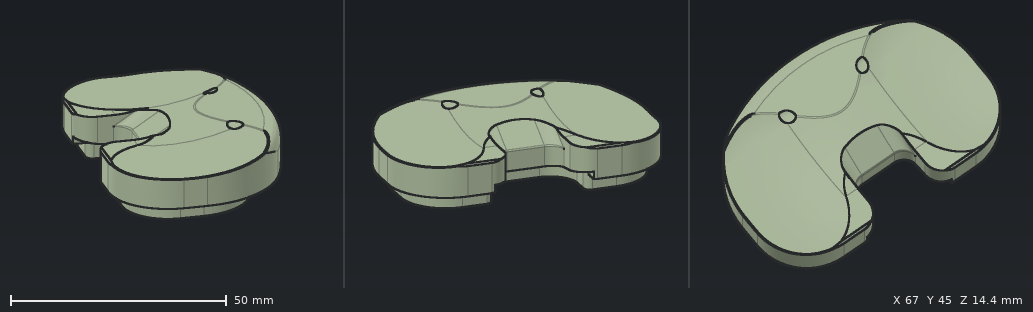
import cadquery as cq
import math

WIDTH = 66.95
DEPTH = 45.0
HEIGHT = 14.4
HALF_WIDTH = WIDTH / 2

SIDE_END_Y = 19.95
FRONT_CORNER_RADIUS = 14.3
REAR_RADIUS = 48.2
SLOT_HALF_WIDTH = 8.2
SLOT_DEPTH = 12.2
SLOT_ENTRY_RADIUS = 4.95
SLOT_END_RADIUS = 3.5

PLINTH_HEIGHT = 3.8
PLINTH_INSET = 3.3
PLINTH_DEPTH = 36.6
PLINTH_REAR_RADIUS = 73.65

FRONT_LEVEL = 11.7
FRONT_LEVEL_END_Y = 9.2
FRONT_RISE_RADIUS = 18.75
FRONT_BEVEL_DEPTH = 0.7
FRONT_BEVEL_HEIGHT = 0.4

REAR_ROUNDING = 3.9

DISH_X = 22.6
DISH_Y = 16.4
DISH_FLOOR = 9.05
DISH_CROSS_RADIUS = 29.45
DISH_SWEEP_RADIUS = 50.9
SADDLE_HALF_WIDTH = 11.8

RAMP_BASE = 8.9
RAMP_RUN = 7.15
RAMP_RISE = 4.5
RAMP_REACH = 2

DIMPLE_X = 11.6
DIMPLE_Y = 32.1
DIMPLE_Z = 17.2
DIMPLE_RADIUS = 3.7

LEG_NOTCH_HALF_WIDTH = 12.25
LEG_NOTCH_HEIGHT = 1.9
REAR_NOTCH_TOP_HALF_WIDTH = 12.05
REAR_NOTCH_BOTTOM_HALF_WIDTH = 15.8
REAR_NOTCH_HEIGHT = 2.0

RIM_CHAMFER = 0.2
SADDLE_CHAMFER = 0.2
RAMP_FOOT_RADIUS = 0.5

CLEARANCE = 3.35
RIM_BAND = 4.0
SELECT_MARGIN = 0.1


def slotted_outline(inset, rear_y, rear_radius, z):
    """Plan outline at height z, the body outline moved in by inset and ending at rear_y."""
    half_width = HALF_WIDTH - inset
    front_y = inset
    corner_radius = FRONT_CORNER_RADIUS - inset
    slot_x = SLOT_HALF_WIDTH + inset
    slot_y = SLOT_DEPTH + inset
    entry_radius = SLOT_ENTRY_RADIUS - inset
    end_radius = SLOT_END_RADIUS + inset

    rise = rear_y - SIDE_END_Y
    side_radius = (2 * rear_radius * rise - half_width**2 - rise**2) / (2 * (rear_radius - half_width))
    side_x = half_width - side_radius
    rear_centre_y = rear_y - rear_radius
    lean = math.atan2(side_x, SIDE_END_Y - rear_centre_y)
    joint_x = rear_radius * math.sin(lean)
    joint_y = rear_centre_y + rear_radius * math.cos(lean)

    return (
        cq.Workplane("XY", origin=(0, 0, z))
        .moveTo(slot_x + entry_radius, front_y)
        .lineTo(half_width - corner_radius, front_y)
        .tangentArcPoint((half_width, front_y + corner_radius), relative=False)
        .lineTo(half_width, SIDE_END_Y)
        .tangentArcPoint((joint_x, joint_y), relative=False)
        .threePointArc((0, rear_y), (-joint_x, joint_y))
        .tangentArcPoint((-half_width, SIDE_END_Y), relative=False)
        .lineTo(-half_width, front_y + corner_radius)
        .tangentArcPoint((corner_radius - half_width, front_y), relative=False)
        .lineTo(-slot_x - entry_radius, front_y)
        .tangentArcPoint((-slot_x, front_y + entry_radius), relative=False)
        .lineTo(-slot_x, slot_y - end_radius)
        .tangentArcPoint((end_radius - slot_x, slot_y), relative=False)
        .lineTo(slot_x - end_radius, slot_y)
        .tangentArcPoint((slot_x, slot_y - end_radius), relative=False)
        .lineTo(slot_x, front_y + entry_radius)
        .tangentArcPoint((slot_x + entry_radius, front_y), relative=False)
        .close()
    )


def front_level_cutter():
    """Space above the front bevel, the low front level and the curve that leads up from it."""
    above = HEIGHT + CLEARANCE
    rise_angle = math.acos(1 - (above - FRONT_LEVEL) / FRONT_RISE_RADIUS)
    half_angle = rise_angle / 2
    return (
        cq.Workplane("YZ", origin=(-WIDTH, 0, 0))
        .moveTo(0, FRONT_LEVEL - FRONT_BEVEL_HEIGHT)
        .lineTo(FRONT_BEVEL_DEPTH, FRONT_LEVEL)
        .lineTo(FRONT_LEVEL_END_Y, FRONT_LEVEL)
        .threePointArc(
            (
                FRONT_LEVEL_END_Y + FRONT_RISE_RADIUS * math.sin(half_angle),
                FRONT_LEVEL + FRONT_RISE_RADIUS * (1 - math.cos(half_angle)),
            ),
            (FRONT_LEVEL_END_Y + FRONT_RISE_RADIUS * math.sin(rise_angle), above),
        )
        .lineTo(0, above)
        .close()
        .extrude(2 * WIDTH)
    )


def rear_rounding_cutter():
    """Ring around the rear arc; it fades out where the side arcs turn in from that arc."""
    inner = REAR_RADIUS - REAR_ROUNDING
    lower = HEIGHT - REAR_ROUNDING
    diagonal = REAR_ROUNDING * math.sqrt(0.5)
    outer = REAR_RADIUS + CLEARANCE
    above = HEIGHT + CLEARANCE
    ring = (
        cq.Workplane("XZ", origin=(0, DEPTH - REAR_RADIUS, 0))
        .moveTo(inner, HEIGHT)
        .threePointArc((inner + diagonal, lower + diagonal), (REAR_RADIUS, lower))
        .lineTo(outer, lower)
        .lineTo(outer, above)
        .lineTo(inner, above)
        .close()
        .revolve(360, (0, 0, 0), (0, 1, 0))
    )
    rear_half = cq.Workplane("XY").box(2 * WIDTH, WIDTH, WIDTH, centered=(True, False, True))
    return ring.intersect(rear_half.translate((0, SIDE_END_Y, 0)))


def bearing_cutter():
    """Both dishes and the saddle, as one cross profile turned about an axis along X."""
    slope = math.asin((DISH_X - SADDLE_HALF_WIDTH) / DISH_CROSS_RADIUS)
    joint_z = DISH_FLOOR + DISH_CROSS_RADIUS * (1 - math.cos(slope))
    saddle_radius = SADDLE_HALF_WIDTH / math.sin(slope)
    saddle_top = joint_z + saddle_radius * (1 - math.cos(slope))
    outer_x = HALF_WIDTH + CLEARANCE
    outer_slope = math.asin((outer_x - DISH_X) / DISH_CROSS_RADIUS)
    outer_z = DISH_FLOOR + DISH_CROSS_RADIUS * (1 - math.cos(outer_slope))
    above = HEIGHT + 2 * CLEARANCE
    axis_height = DISH_FLOOR + DISH_SWEEP_RADIUS
    return (
        cq.Workplane("XZ", origin=(0, DISH_Y, 0))
        .moveTo(-outer_x, outer_z)
        .threePointArc((-DISH_X, DISH_FLOOR), (-SADDLE_HALF_WIDTH, joint_z))
        .threePointArc((0, saddle_top), (SADDLE_HALF_WIDTH, joint_z))
        .threePointArc((DISH_X, DISH_FLOOR), (outer_x, outer_z))
        .lineTo(outer_x, above)
        .lineTo(-outer_x, above)
        .close()
        .revolve(360, (0, axis_height, 0), (1, axis_height, 0))
    )


def ramp_cutter():
    """The end of the slot, carried up and back along the ramp."""
    outline = (
        cq.Workplane("XY", origin=(0, 0, RAMP_BASE))
        .moveTo(-SLOT_HALF_WIDTH, 0)
        .lineTo(-SLOT_HALF_WIDTH, SLOT_DEPTH - SLOT_END_RADIUS)
        .tangentArcPoint((SLOT_END_RADIUS - SLOT_HALF_WIDTH, SLOT_DEPTH), relative=False)
        .lineTo(SLOT_HALF_WIDTH - SLOT_END_RADIUS, SLOT_DEPTH)
        .tangentArcPoint((SLOT_HALF_WIDTH, SLOT_DEPTH - SLOT_END_RADIUS), relative=False)
        .lineTo(SLOT_HALF_WIDTH, 0)
        .close()
    )
    direction = cq.Vector(0, RAMP_REACH * RAMP_RUN, RAMP_REACH * RAMP_RISE)
    return cq.Workplane(cq.Solid.extrudeLinear(outline.val(), [], direction))


def leg_notch_cutter():
    """Wedge under the inner corners of the legs, running out at the end of the slot."""
    return (
        cq.Workplane("YZ", origin=(-LEG_NOTCH_HALF_WIDTH, 0, 0))
        .moveTo(0, PLINTH_HEIGHT)
        .lineTo(SLOT_DEPTH, PLINTH_HEIGHT)
        .lineTo(0, PLINTH_HEIGHT + LEG_NOTCH_HEIGHT)
        .close()
        .extrude(2 * LEG_NOTCH_HALF_WIDTH)
    )


def rear_notch_cutter():
    """Flared undercut below the rear edge."""
    top = PLINTH_HEIGHT + REAR_NOTCH_HEIGHT
    return (
        cq.Workplane("XZ", origin=(0, DEPTH, 0))
        .moveTo(-REAR_NOTCH_BOTTOM_HALF_WIDTH, PLINTH_HEIGHT)
        .lineTo(-REAR_NOTCH_TOP_HALF_WIDTH, top)
        .lineTo(REAR_NOTCH_TOP_HALF_WIDTH, top)
        .lineTo(REAR_NOTCH_BOTTOM_HALF_WIDTH, PLINTH_HEIGHT)
        .close()
        .extrude(PLINTH_INSET)
    )


def edges_in(shape, low, high):
    """Edges of shape whose centres lie in the box between the corners low and high."""
    return shape.edges(cq.selectors.BoxSelector(low, high))


def break_edges(shape):
    """Chamfer the dish rims and the saddle edge, and round the foot of the ramp."""
    for side in (-1, 1):
        inner_corner = (side * (HALF_WIDTH - RIM_BAND), 0, RAMP_BASE)
        outer_corner = (side * (HALF_WIDTH + CLEARANCE), DEPTH, HEIGHT)
        shape = edges_in(shape, inner_corner, outer_corner).chamfer(RIM_CHAMFER)
    saddle_low = (-SADDLE_HALF_WIDTH, SIDE_END_Y, HEIGHT - SELECT_MARGIN)
    saddle_high = (SADDLE_HALF_WIDTH, DEPTH - 2 * REAR_ROUNDING, HEIGHT + SELECT_MARGIN)
    shape = edges_in(shape, saddle_low, saddle_high).chamfer(SADDLE_CHAMFER)
    foot_low = (-SLOT_HALF_WIDTH, 0, RAMP_BASE - SELECT_MARGIN)
    foot_high = (SLOT_HALF_WIDTH, SLOT_DEPTH + SELECT_MARGIN, RAMP_BASE + SELECT_MARGIN)
    return edges_in(shape, foot_low, foot_high).fillet(RAMP_FOOT_RADIUS)


body = slotted_outline(0, DEPTH, REAR_RADIUS, PLINTH_HEIGHT).extrude(HEIGHT - PLINTH_HEIGHT)
body = body.cut(front_level_cutter())
body = body.cut(rear_rounding_cutter())
body = body.cut(bearing_cutter())
body = body.cut(ramp_cutter())
body = break_edges(body)
for side in (-1, 1):
    dimple = cq.Workplane("XY").sphere(DIMPLE_RADIUS)
    body = body.cut(dimple.translate((side * DIMPLE_X, DIMPLE_Y, DIMPLE_Z)))
body = body.cut(leg_notch_cutter())
body = body.cut(rear_notch_cutter())

plinth = slotted_outline(PLINTH_INSET, PLINTH_DEPTH, PLINTH_REAR_RADIUS, 0)
plinth = plinth.extrude(PLINTH_HEIGHT + LEG_NOTCH_HEIGHT)
result = body.union(plinth)